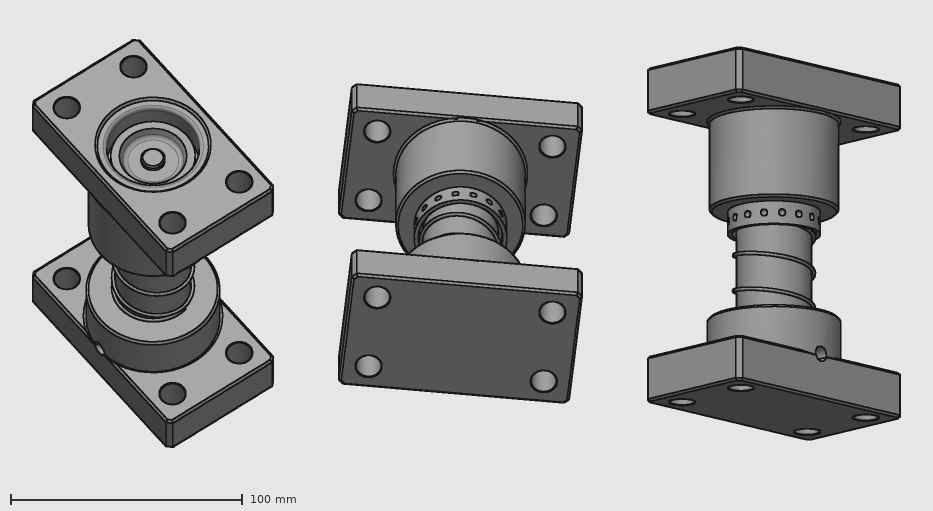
import cadquery as cq
import math


HEIGHT = 148.0
PLATE_ANGLE = -15.0

PLATE_LENGTH = 100.0
PLATE_WIDTH = 57.9
PLATE_THICKNESS = 20.0
PLATE_BEVEL = 1.0
PLATE_CORNER = 2.0
BOLT_SPACING_LENGTH = 76.0
BOLT_SPACING_WIDTH = 36.0
BOLT_DIAMETER = 11.0
BOLT_BEVEL = 0.3

BUSHING_RADIUS = 55.8 / 2
BUSHING_DROP = 40.0
BUSHING_CHAMFER = 1.0
BUSHING_FLARE = 1.0
SPIGOT_RADIUS = 24.0
SPIGOT_RECESS = 1.0
BORE_RADIUS = 20.0
BORE_ROUND = 1.6

COLLAR_RADIUS = 28.9
COLLAR_HEIGHT = 20.0
COLLAR_CHAMFER = 1.0
SEAT_DEPTH = 1.0
SEAT_FLARE = 1.2
LOCK_HOLE_RADIUS = 3.3

POST_RADIUS = 32.4 / 2
CAP_RADIUS = 18.2
CAP_THICKNESS = 5.9
CAP_DROP = 8.5
CUP_RIM_RADIUS = 14.5
CUP_DEPTH = 3.5
CUP_WALL_ANGLE = 60.0
CUP_ROUND = 2.5
SCREW_RADIUS = 5.2
SCREW_CHAMFER = 0.7
SCREW_RISE = 2.4
SCREW_DEPTH = 14.8

CAGE_DROP = 10.0
DIMPLE_COUNT = 16
DIMPLE_RADIUS = 1.5
DIMPLE_ANGLE = -94.7
SPRING_POCKET_RADIUS = 18.2

WIRE_RADIUS = 0.7
SPRING_RADIUS = 17.2
SPRING_PITCH = 15.8
ACTIVE_TURNS = 2.5
END_PITCH = 1.6

TOP = HEIGHT / 2
UPPER_PLATE_BOTTOM = TOP - PLATE_THICKNESS
LOWER_PLATE_TOP = PLATE_THICKNESS - HEIGHT / 2
SEAT_FLOOR = LOWER_PLATE_TOP - SEAT_DEPTH
BUSHING_BOTTOM = UPPER_PLATE_BOTTOM - BUSHING_DROP
COLLAR_TOP = LOWER_PLATE_TOP + COLLAR_HEIGHT
CAP_TOP = TOP - CAP_DROP
CAP_BOTTOM = CAP_TOP - CAP_THICKNESS
CUP_FLOOR = CAP_TOP - CUP_DEPTH
CAGE_BOTTOM = BUSHING_BOTTOM - CAGE_DROP
ACTIVE_BOTTOM = COLLAR_TOP + WIRE_RADIUS + END_PITCH
ACTIVE_TOP = ACTIVE_BOTTOM + ACTIVE_TURNS * SPRING_PITCH
SPRING_TOP = ACTIVE_TOP + END_PITCH + WIRE_RADIUS


def cylinder(radius, bottom, top):
    return cq.Workplane("XY").workplane(offset=bottom).circle(radius).extrude(top - bottom)


def cone(bottom_radius, top_radius, bottom, top):
    return cq.Workplane(
        cq.Solid.makeCone(bottom_radius, top_radius, top - bottom, pnt=cq.Vector(0, 0, bottom))
    )


def make_plate(bottom):
    """Bevelled plate with four bolt holes, turned about Z."""
    plate = (
        cq.Workplane("XY")
        .workplane(offset=bottom)
        .rect(PLATE_LENGTH, PLATE_WIDTH)
        .extrude(PLATE_THICKNESS)
        .edges("|Z")
        .chamfer(PLATE_CORNER)
        .faces("<Z or >Z")
        .chamfer(PLATE_BEVEL)
    )
    holes = (
        cq.Workplane("XY")
        .workplane(offset=bottom)
        .rect(BOLT_SPACING_LENGTH, BOLT_SPACING_WIDTH, forConstruction=True)
        .vertices()
        .circle(BOLT_DIAMETER / 2)
        .extrude(PLATE_THICKNESS)
    )
    plate = plate.cut(holes)
    plate = plate.edges(cq.selectors.RadiusNthSelector(0)).chamfer(BOLT_BEVEL)
    return plate.rotate((0, 0, 0), (0, 0, 1), PLATE_ANGLE)


def make_lock_hole():
    """Radial hole from the front face of the lower plate to the post."""
    hole = cq.Workplane("XZ", origin=(0, 0, LOWER_PLATE_TOP)).circle(LOCK_HOLE_RADIUS).extrude(PLATE_WIDTH)
    return hole.rotate((0, 0, 0), (0, 0, 1), PLATE_ANGLE)


def make_upper_plate():
    plate = make_plate(UPPER_PLATE_BOTTOM).cut(cylinder(SPIGOT_RADIUS, UPPER_PLATE_BOTTOM, TOP))
    countersink = cone(SPIGOT_RADIUS, SPIGOT_RADIUS + SPIGOT_RECESS, TOP - SPIGOT_RECESS, TOP)
    return plate.cut(countersink)


def make_lower_plate():
    seat = cone(COLLAR_RADIUS, COLLAR_RADIUS + SEAT_FLARE, SEAT_FLOOR, LOWER_PLATE_TOP)
    return make_plate(-HEIGHT / 2).cut(make_lock_hole()).cut(seat)


def make_bushing():
    spigot_top = TOP - SPIGOT_RECESS
    sleeve = cylinder(BUSHING_RADIUS, BUSHING_BOTTOM, UPPER_PLATE_BOTTOM)
    sleeve = sleeve.faces("<Z").chamfer(BUSHING_CHAMFER)
    flare_bottom = UPPER_PLATE_BOTTOM - BUSHING_FLARE
    flare = cone(BUSHING_RADIUS, BUSHING_RADIUS + BUSHING_FLARE, flare_bottom, UPPER_PLATE_BOTTOM)
    spigot = cylinder(SPIGOT_RADIUS, UPPER_PLATE_BOTTOM, spigot_top)
    bushing = sleeve.union(flare).union(spigot).cut(cylinder(BORE_RADIUS, BUSHING_BOTTOM, spigot_top))
    return bushing.faces(">Z").edges(cq.selectors.RadiusNthSelector(0)).fillet(BORE_ROUND)


def make_collar():
    collar = cylinder(COLLAR_RADIUS, SEAT_FLOOR, COLLAR_TOP).faces(">Z").chamfer(COLLAR_CHAMFER)
    return collar.cut(cylinder(POST_RADIUS, SEAT_FLOOR, COLLAR_TOP)).cut(make_lock_hole())


def make_screw():
    screw = cylinder(SCREW_RADIUS, CUP_FLOOR - SCREW_DEPTH, CUP_FLOOR + SCREW_RISE)
    return screw.faces(">Z").chamfer(SCREW_CHAMFER)


def make_post():
    return cylinder(POST_RADIUS, SEAT_FLOOR, CAP_BOTTOM).cut(make_screw())


def make_cap():
    """Disc on the post end with a round-bottomed conical cup around the screw."""
    floor_radius = CUP_RIM_RADIUS - CUP_DEPTH / math.tan(math.radians(CUP_WALL_ANGLE))
    cup = cone(floor_radius, CUP_RIM_RADIUS, CUP_FLOOR, CAP_TOP).faces("<Z").edges().fillet(CUP_ROUND)
    return cylinder(CAP_RADIUS, CAP_BOTTOM, CAP_TOP).cut(cup).cut(make_screw())


def make_cage():
    """Sleeve between post and bushing: a spring pocket below and a ring of ball dimples outside."""
    cage = cylinder(BORE_RADIUS, CAGE_BOTTOM, CAP_BOTTOM).cut(cylinder(POST_RADIUS, CAGE_BOTTOM, CAP_BOTTOM))
    cage = cage.cut(cylinder(SPRING_POCKET_RADIUS, CAGE_BOTTOM, SPRING_TOP))
    row_level = CAGE_BOTTOM + CAGE_DROP / 2
    dimple = cq.Workplane("XY").sphere(DIMPLE_RADIUS).translate((BORE_RADIUS, 0, row_level))
    for index in range(DIMPLE_COUNT):
        angle = DIMPLE_ANGLE + index * 360 / DIMPLE_COUNT
        cage = cage.cut(dimple.rotate((0, 0, 0), (0, 0, 1), angle))
    return cage


def make_coil(pitch, turns, bottom, start_angle=0):
    """Left-handed coil whose wire centre starts at the given level and angle about Z."""
    start = cq.Vector(0, 0, bottom)
    path = cq.Wire.makeHelix(pitch, turns * pitch, SPRING_RADIUS, center=start, lefthand=True)
    section = cq.Workplane("XZ", origin=(SPRING_RADIUS, 0, bottom)).circle(WIRE_RADIUS)
    coil = section.sweep(cq.Workplane(path), isFrenet=True)
    return coil.rotate((0, 0, 0), (0, 0, 1), start_angle)


def make_spring():
    """Open coils between two closed end coils of one turn each."""
    active_end_angle = -360 * ACTIVE_TURNS
    lower_end = make_coil(END_PITCH, 1, ACTIVE_BOTTOM - END_PITCH)
    active = make_coil(SPRING_PITCH, ACTIVE_TURNS, ACTIVE_BOTTOM)
    upper_end = make_coil(END_PITCH, 1, ACTIVE_TOP, active_end_angle)
    return lower_end.union(active).union(upper_end)


upper_plate = make_upper_plate()
lower_plate = make_lower_plate()
bushing = make_bushing()
collar = make_collar()
post = make_post()
cap = make_cap()
screw = make_screw()
cage = make_cage()
spring = make_spring()

bodies = [upper_plate, lower_plate, bushing, collar, post, cap, screw, cage, spring]

result = cq.Compound.makeCompound([solid for body in bodies for solid in body.solids().vals()])